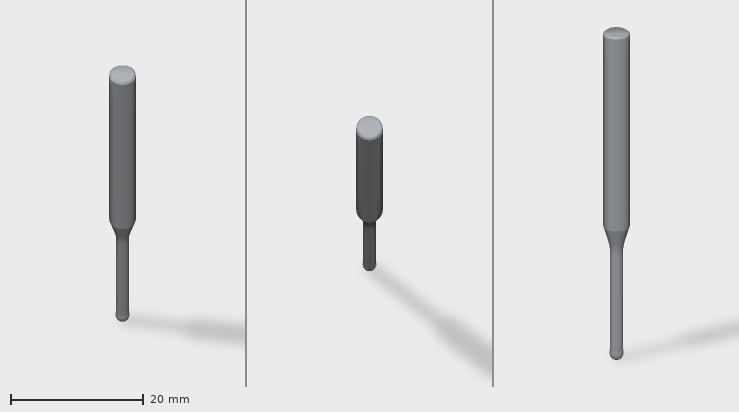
import cadquery as cq
import math

total_length = 55.0
shank_radius = 2.01
top_chamfer = 0.3
ball_radius = 1.05
cutter_length = 1.6
neck_radius = 1.0
neck_top = 18.15
shank_bottom = 22.45
blend_radius = 6.0
taper_angle = math.radians(16.5)


def blend_point(angle):
    """Radius and height on the arc that leaves the neck tangentially."""
    radius = neck_radius + blend_radius * (1 - math.cos(angle))
    height = neck_top + blend_radius * math.sin(angle)
    return radius, height


def make_cutter():
    """Cutting head: a hemisphere below a short cylinder."""
    arc_middle = (
        ball_radius * math.sin(math.pi / 4),
        ball_radius * (1 - math.cos(math.pi / 4)),
    )
    return (
        cq.Workplane("XZ")
        .threePointArc(arc_middle, (ball_radius, ball_radius))
        .lineTo(ball_radius, cutter_length)
        .lineTo(0, cutter_length)
        .close()
        .revolve(360, (0, 0, 0), (0, 1, 0))
    )


def make_shank():
    """Holder body: neck, concave blend, conical taper and chamfered shank."""
    return (
        cq.Workplane("XZ")
        .moveTo(0, cutter_length)
        .lineTo(neck_radius, cutter_length)
        .lineTo(neck_radius, neck_top)
        .threePointArc(blend_point(taper_angle / 2), blend_point(taper_angle))
        .lineTo(shank_radius, shank_bottom)
        .lineTo(shank_radius, total_length - top_chamfer)
        .lineTo(shank_radius - top_chamfer, total_length)
        .lineTo(0, total_length)
        .close()
        .revolve(360, (0, 0, 0), (0, 1, 0))
    )


cutter = make_cutter()
shank = make_shank()
result = cq.Compound.makeCompound([cutter.val(), shank.val()])